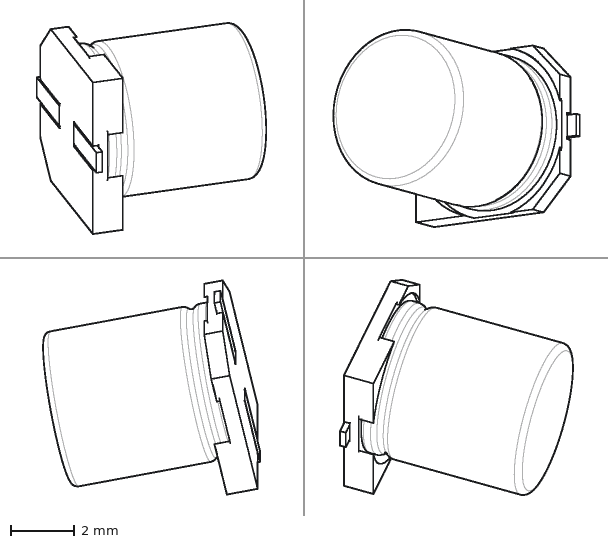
import cadquery as cq

overall_length = 6.0
overall_height = 5.9

base_side = 5.3
base_half = base_side / 2
corner_chamfer = 1.05
post_height = 1.0
low_height = 0.6
recess_radius = 2.755
recess_floor = 0.5
recess_half_chord = (recess_radius**2 - base_half**2) ** 0.5

lead_thickness = 0.2
lead_width = 0.7
slot_width = 0.85
lead_inner_x = 0.71
lead_outer_x = overall_length / 2
lead_length = lead_outer_x - lead_inner_x

can_radius = 2.5
top_rounding = 0.2
bottom_rounding = low_height - recess_floor
groove_centre_y = 1.13
groove_half_width = 0.29
neck_half_width = 0.11
shoulder_depth = 0.085
neck_depth = 0.125


def box_from(x_min, x_max, y_min, y_max, width_z):
    """Box given by its X and Y limits, centred on Z = 0."""
    return (
        cq.Workplane("XY")
        .box(x_max - x_min, y_max - y_min, width_z, centered=(False, False, True))
        .translate((x_min, y_min, 0))
    )


def disc_along_y(radius, y_min, y_max):
    return cq.Workplane("XZ", origin=(0, y_min, 0)).circle(radius).extrude(y_min - y_max)


def make_base():
    base = box_from(-base_half, base_half, 0, post_height, base_side)
    base = base.edges("|Y and <X").chamfer(corner_chamfer)

    base = base.cut(box_from(-base_half, recess_half_chord, low_height, post_height, base_side))
    base = base.cut(disc_along_y(recess_radius, recess_floor, post_height))

    for slot_start in (-base_half, lead_inner_x):
        slot_end = slot_start + base_half - lead_inner_x
        base = base.cut(box_from(slot_start, slot_end, 0, lead_thickness, slot_width))
    return base


def make_lead(side):
    """Flat lead; side is -1 for the -X end and +1 for the +X end."""
    lead_centre_x = side * (lead_inner_x + lead_length / 2)
    return box_from(
        lead_centre_x - lead_length / 2,
        lead_centre_x + lead_length / 2,
        0,
        lead_thickness,
        lead_width,
    )


def make_can():
    shoulder_radius = can_radius - shoulder_depth
    neck_radius = can_radius - neck_depth
    profile = (
        cq.Workplane("XY")
        .moveTo(0, recess_floor)
        .lineTo(can_radius - bottom_rounding, recess_floor)
        .tangentArcPoint((can_radius, recess_floor + bottom_rounding), relative=False)
        .lineTo(can_radius, groove_centre_y - groove_half_width)
        .tangentArcPoint((shoulder_radius, groove_centre_y - neck_half_width), relative=False)
        .threePointArc(
            (neck_radius, groove_centre_y),
            (shoulder_radius, groove_centre_y + neck_half_width),
        )
        .tangentArcPoint((can_radius, groove_centre_y + groove_half_width), relative=False)
        .lineTo(can_radius, overall_height - top_rounding)
        .tangentArcPoint((can_radius - top_rounding, overall_height), relative=False)
        .lineTo(0, overall_height)
        .close()
    )
    return profile.revolve(360, (0, 0, 0), (0, 1, 0))


base = make_base()
can = make_can()
leads = [make_lead(side) for side in (-1, 1)]

result = cq.Compound.makeCompound([base.val(), can.val(), *[lead.val() for lead in leads]])